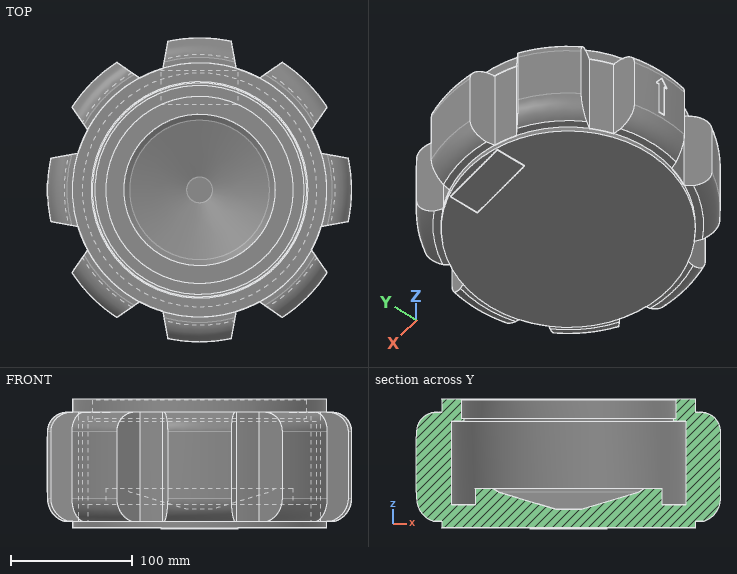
import cadquery as cq
import math

base_pad_height = 1.0
base_z = base_pad_height
total_height = 107.0
grip_height = 89.8
base_rim_height = 5.2
grip_bottom_z = base_z + base_rim_height
grip_top_z = grip_bottom_z + grip_height

body_radius = 209.0 / 2
waist_radius = body_radius - 0.5
mouth_radius = 176.0 / 2
mouth_chamfer = 1.0
mouth_depth = 16.0
lip_radius = 171.82 / 2
lip_thickness = 2.6
chamber_radius = 192.5 / 2
chamber_floor_z = total_height - 87.0

plateau_radius = 153.92 / 2
plateau_z = total_height - 73.6
bowl_edge_radius = 62.2
cone_radius = 57.4
bowl_edge_depth = 3.0
bowl_floor_radius = 21.2 / 2
bowl_depth = 17.0

lug_count = 8
lug_radius = 250.0 / 2
lug_root_radius = 100.0
lug_top_fillet = 16.0
lug_bottom_rounding = 20.0
lug_bottom_trim = 1.0
lug_tip_half_width = 26.1
lug_side_angle = 10.4

arrow_relief = 0.5
arrow_embed = 2.0
arrow_bottom_z = 30.3
arrow_length = 45.5
arrow_head_length = 8.6
arrow_barb_length = 0.7
arrow_shaft_half_width = 2.7
arrow_head_half_width = 5.2

base_pad_width = 63.0
base_pad_depth = 28.0
base_pad_center_y = 84.0


def make_cup():
    """Revolved cup: outer wall, stepped mouth, undercut chamber, plateau and bowl."""
    lip_top_z = total_height - mouth_depth
    lip_bottom_z = lip_top_z - lip_thickness
    profile = [
        (0, base_z),
        (body_radius, base_z),
        (body_radius, grip_bottom_z),
        (waist_radius, grip_bottom_z),
        (waist_radius, grip_top_z),
        (body_radius, grip_top_z),
        (body_radius, total_height),
        (mouth_radius + mouth_chamfer, total_height),
        (mouth_radius, total_height - mouth_chamfer),
        (mouth_radius, lip_top_z),
        (lip_radius, lip_top_z),
        (lip_radius, lip_bottom_z),
        (chamber_radius, lip_bottom_z),
        (chamber_radius, chamber_floor_z),
        (plateau_radius, chamber_floor_z),
        (plateau_radius, plateau_z),
        (bowl_edge_radius, plateau_z),
        (cone_radius, plateau_z - bowl_edge_depth),
        (bowl_floor_radius, plateau_z - bowl_depth),
        (0, plateau_z - bowl_depth),
    ]
    return cq.Workplane("XZ").polyline(profile).close().revolve(360, (0, 0), (0, 1))


def make_lug_ring():
    """Ring that the lugs are cut from, rounded along its outer top and bottom edges.

    The top rounding runs tangent into the flat top. The flat bottom trims the
    bottom rounding just above its lowest point.
    """
    diagonal = math.sqrt(0.5)
    top_center = (lug_radius - lug_top_fillet, grip_top_z - lug_top_fillet)
    bottom_center = (
        lug_radius - lug_bottom_rounding,
        grip_bottom_z + lug_bottom_rounding - lug_bottom_trim,
    )
    bottom_rise = bottom_center[1] - grip_bottom_z
    bottom_edge_x = bottom_center[0] + math.sqrt(lug_bottom_rounding**2 - bottom_rise**2)
    top_mid = (top_center[0] + lug_top_fillet * diagonal, top_center[1] + lug_top_fillet * diagonal)
    bottom_mid = (
        bottom_center[0] + lug_bottom_rounding * diagonal,
        bottom_center[1] - lug_bottom_rounding * diagonal,
    )
    return (
        cq.Workplane("XZ")
        .moveTo(lug_root_radius, grip_bottom_z)
        .lineTo(bottom_edge_x, grip_bottom_z)
        .threePointArc(bottom_mid, (lug_radius, bottom_center[1]))
        .lineTo(lug_radius, top_center[1])
        .threePointArc(top_mid, (top_center[0], grip_top_z))
        .lineTo(lug_root_radius, grip_top_z)
        .close()
        .revolve(360, (0, 0), (0, 1))
    )


def make_lug():
    """One lug on the +X side, its flanks narrowing outward."""
    corner_x = math.sqrt(lug_radius**2 - lug_tip_half_width**2)
    slope = math.tan(math.radians(lug_side_angle))
    root_x = lug_root_radius * math.cos(math.pi / lug_count)
    root_half_width = lug_tip_half_width + (corner_x - root_x) * slope
    end_half_width = lug_tip_half_width - (lug_radius - corner_x) * slope
    wedge = (
        cq.Workplane("XY")
        .workplane(offset=grip_bottom_z)
        .polyline([
            (root_x, -root_half_width),
            (lug_radius, -end_half_width),
            (lug_radius, end_half_width),
            (root_x, root_half_width),
        ])
        .close()
        .extrude(grip_height)
    )
    return make_lug_ring().intersect(wedge)


def make_arrow():
    """Upward arrow standing proud of the -X lug and following its curve."""
    tip_z = arrow_bottom_z + arrow_length
    barb_top_z = tip_z - arrow_head_length
    barb_bottom_z = barb_top_z - arrow_barb_length
    outer_radius = lug_radius + arrow_relief
    outline = [
        (-arrow_shaft_half_width, arrow_bottom_z),
        (arrow_shaft_half_width, arrow_bottom_z),
        (arrow_shaft_half_width, barb_bottom_z),
        (arrow_head_half_width, barb_bottom_z),
        (arrow_head_half_width, barb_top_z),
        (0, tip_z),
        (-arrow_head_half_width, barb_top_z),
        (-arrow_head_half_width, barb_bottom_z),
        (-arrow_shaft_half_width, barb_bottom_z),
    ]
    prism = (
        cq.Workplane("YZ")
        .workplane(offset=-outer_radius)
        .polyline(outline)
        .close()
        .extrude(arrow_relief + arrow_embed)
    )
    envelope = cq.Workplane("XY").circle(outer_radius).extrude(total_height)
    return prism.intersect(envelope)


def make_base_pad():
    """Shallow raised pad under the base, on its +Y side."""
    return (
        cq.Workplane("XY")
        .center(0, base_pad_center_y)
        .rect(base_pad_width, base_pad_depth)
        .extrude(base_pad_height)
    )


result = make_cup()
lug = make_lug()
for i in range(lug_count):
    result = result.union(lug.rotate((0, 0, 0), (0, 0, 1), i * 360 / lug_count))
result = result.union(make_arrow()).union(make_base_pad())